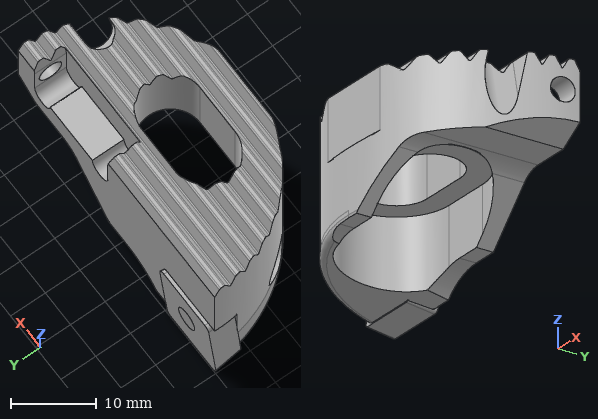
import cadquery as cq
import math


def sind(angle):
    return math.sin(math.radians(angle))


def cosd(angle):
    return math.cos(math.radians(angle))


def tand(angle):
    return math.tan(math.radians(angle))



BODY_RADIUS = 19.5
FACE_Y = -0.1
BODY_DEPTH = 23.95

LEDGE_Z = -9.98
CHAMFER_START_X = 16.0
CHAMFER_END_Z = -7.85
LEDGE_CORNER_X = 9.1
SLOPE_ANGLE = 45.0
LEDGE_BLEND_RADIUS = 4.0
MID_Z = -17.6
GULLET_START_X = -2.08
GULLET_END_X = -8.05
GULLET_RADIUS = 8.0

FLARE_Z = -16.7
FLARE_ANGLE = 10.0
BOTTOM_Z = -20.1
BOTTOM_TILT = 6.0
BOTTOM_FILLET = 0.9

SERRATION_COUNT = 7
SERRATION_SPAN = 17.52
SERRATION_PITCH = SERRATION_SPAN / SERRATION_COUNT
FLANK_ANGLE = 60.0
CREST_FLAT = 0.48
CREST_RADIUS = 0.25
ROOT_RADIUS = 0.1

SLOT_X = -0.75
SLOT_Y = -9.9
SLOT_LENGTH = 15.45
SLOT_WIDTH = 8.5
SEAT_RADIUS = 7.4

KEYWAY_LEFT_X = 1.7
KEYWAY_RIGHT_X = 16.15
KEYWAY_DEPTH_Y = 4.55
KEYWAY_FLOOR_Z = -6.0
KEYWAY_RELIEF_RADIUS = 1.5
KEYWAY_CHAMFER_WIDTH = 0.3
KEYWAY_CHAMFER_DEPTH = 2.0
CROSS_HOLE_RADIUS = 1.6
CROSS_HOLE_Y = -2.4
CROSS_HOLE_Z = -4.15

FRONT_FLAT_DEPTH = 0.75
FRONT_FLAT_Z = -8.25
FRONT_FLAT_RUNOUT = 0.4
GROOVE_RADIUS = 2.0
GROOVE_X = 15.6
GROOVE_Y = -8.82
GROOVE_Z = -0.5
GROOVE_HEADING = -22.0
GROOVE_DESCENT = 64.0

INSERT_TOP_Y = 0.4
INSERT_THICKNESS = 4.0
INSERT_HEIGHT = 9.6
INSERT_BOTTOM_Z = -20.4
INSERT_TIP_X = -20.6
INSERT_ANGLE = 80.0
INSERT_WIDTH = INSERT_HEIGHT / sind(INSERT_ANGLE)
INSERT_CLEARANCE = 7.0
INSERT_NOSE_RADIUS = 0.8
POCKET_REACH = 3.2

SCREW_X = -14.65
SCREW_Z = -15.4
SCREW_RADIUS = 1.6
SCREW_CHAMFER = 0.25
SCREW_END_Y = -9.9
ACCESS_RADIUS = 2.05
ACCESS_FLOOR_Y = -9.6

BEYOND = 4.0


def block(x0, x1, y0, y1, z0, z1):
    """Axis-aligned box between two corners."""
    return cq.Workplane("XY").box(x1 - x0, y1 - y0, z1 - z0, centered=False).translate((x0, y0, z0))


def cylinder_y(radius, x, z, y0, y1):
    """Cylinder along Y from y0 to the larger y1."""
    return cq.Workplane(cq.Solid.makeCylinder(radius, y1 - y0, cq.Vector(x, y0, z), cq.Vector(0, 1, 0)))


def flared_cylinder():
    """Cylinder whose lower end leans outwards to -X."""
    straight = cq.Workplane("XY").circle(BODY_RADIUS).extrude(-BODY_DEPTH)
    flare_height = BODY_DEPTH + FLARE_Z
    rim = cq.Wire.makeCircle(BODY_RADIUS, cq.Vector(0, 0, FLARE_Z), cq.Vector(0, 0, 1))
    lean = cq.Vector(-flare_height * tand(FLARE_ANGLE), 0, -flare_height)
    flare = cq.Workplane(cq.Solid.extrudeLinear(rim, [], lean))
    return straight.union(flare)


def tilted_bottom_cutter():
    """Everything below the bottom plane, which rises towards -Y."""
    length = 2 * BODY_RADIUS
    rise = length * tand(BOTTOM_TILT)
    return (
        cq.Workplane("YZ", origin=(-length, 0, 0))
        .moveTo(FACE_Y + length, BOTTOM_Z - rise)
        .lineTo(FACE_Y - length, BOTTOM_Z + rise)
        .lineTo(FACE_Y - length, -2 * BODY_DEPTH)
        .lineTo(FACE_Y + length, -2 * BODY_DEPTH)
        .close()
        .extrude(2 * length)
    )


def lower_outline():
    """Side outline of the housing, extruded along Y."""
    tangent = LEDGE_BLEND_RADIUS * tand(SLOPE_ANGLE / 2)
    slope_top_x = LEDGE_CORNER_X - tangent * cosd(SLOPE_ANGLE)
    slope_top_z = LEDGE_Z - tangent * sind(SLOPE_ANGLE)
    slope_end_x = LEDGE_CORNER_X - (LEDGE_Z - MID_Z) / tand(SLOPE_ANGLE)
    run = GULLET_START_X - GULLET_END_X
    drop = GULLET_RADIUS - math.sqrt(GULLET_RADIUS**2 - run**2)
    outer_x = 2 * BODY_RADIUS
    return (
        cq.Workplane("XZ")
        .moveTo(-outer_x, BEYOND)
        .lineTo(BODY_RADIUS, BEYOND)
        .lineTo(BODY_RADIUS, CHAMFER_END_Z)
        .lineTo(CHAMFER_START_X, LEDGE_Z)
        .lineTo(LEDGE_CORNER_X + tangent, LEDGE_Z)
        .radiusArc((slope_top_x, slope_top_z), -LEDGE_BLEND_RADIUS)
        .lineTo(slope_end_x, MID_Z)
        .lineTo(GULLET_START_X, MID_Z)
        .radiusArc((GULLET_END_X, MID_Z - drop), -GULLET_RADIUS)
        .lineTo(GULLET_END_X, -2 * BODY_DEPTH)
        .lineTo(-outer_x, -2 * BODY_DEPTH)
        .close()
        .extrude(2 * BODY_RADIUS)
    )


def housing_blank():
    blank = flared_cylinder().cut(tilted_bottom_cutter())
    blank = blank.faces("<Z").edges().fillet(BOTTOM_FILLET)
    half = block(-2 * BODY_RADIUS, 2 * BODY_RADIUS, -2 * BODY_RADIUS, FACE_Y, -BODY_DEPTH, 0)
    return blank.intersect(half).intersect(lower_outline())


def serration_cutter(y):
    """One rounded V groove along X, centred at y."""
    half_width = (SERRATION_PITCH - CREST_FLAT) / 2
    crest_tangent = CREST_RADIUS * tand(FLANK_ANGLE / 2)
    corner = half_width - crest_tangent
    flank_top = corner - crest_tangent * cosd(FLANK_ANGLE)
    flank_top_z = -crest_tangent * sind(FLANK_ANGLE)
    root_half = ROOT_RADIUS * sind(FLANK_ANGLE)
    root_z = -(corner - root_half) * tand(FLANK_ANGLE)
    return (
        cq.Workplane("YZ", origin=(-BODY_RADIUS - BEYOND, y, 0))
        .moveTo(-half_width, BEYOND)
        .lineTo(-half_width, 0)
        .radiusArc((-flank_top, flank_top_z), CREST_RADIUS)
        .lineTo(-root_half, root_z)
        .radiusArc((root_half, root_z), -ROOT_RADIUS)
        .lineTo(flank_top, flank_top_z)
        .radiusArc((half_width, 0), CREST_RADIUS)
        .lineTo(half_width, BEYOND)
        .close()
        .extrude(2 * (BODY_RADIUS + BEYOND))
    )


def clamping_slot():
    """Obround through slot with a wider seat for the clamp screw's head below."""
    centres = SLOT_LENGTH - SLOT_WIDTH
    slot = (
        cq.Workplane("XY", origin=(SLOT_X, SLOT_Y, BEYOND))
        .slot2D(SLOT_LENGTH, SLOT_WIDTH)
        .extrude(-BODY_DEPTH - 2 * BEYOND)
    )
    seat = (
        cq.Workplane("XY", origin=(SLOT_X, SLOT_Y, LEDGE_Z))
        .slot2D(centres + 2 * SEAT_RADIUS, 2 * SEAT_RADIUS)
        .extrude(-BODY_DEPTH)
    )
    return slot.union(seat)


def keyway():
    """Notch in the flat face: raised floor between two round reliefs, chamfered mouth."""
    back_y = FACE_Y - KEYWAY_DEPTH_Y
    notch = block(KEYWAY_LEFT_X, KEYWAY_RIGHT_X, back_y, BEYOND, KEYWAY_FLOOR_Z, BEYOND)
    mouth = (
        cq.Workplane("XZ", origin=(0, BEYOND, 0))
        .moveTo(KEYWAY_LEFT_X - KEYWAY_CHAMFER_WIDTH, 0)
        .lineTo(KEYWAY_LEFT_X, -KEYWAY_CHAMFER_DEPTH)
        .lineTo(KEYWAY_RIGHT_X, -KEYWAY_CHAMFER_DEPTH)
        .lineTo(KEYWAY_RIGHT_X + KEYWAY_CHAMFER_WIDTH, 0)
        .close()
        .extrude(BEYOND - back_y)
    )
    cutter = notch.union(mouth)
    for x in (KEYWAY_LEFT_X + KEYWAY_RELIEF_RADIUS, KEYWAY_RIGHT_X - KEYWAY_RELIEF_RADIUS):
        cutter = cutter.union(cylinder_y(KEYWAY_RELIEF_RADIUS, x, KEYWAY_FLOOR_Z, back_y, BEYOND))
    return cutter


def cross_hole():
    """Hole along X from the keyway to the outside."""
    middle_x = (KEYWAY_LEFT_X + KEYWAY_RIGHT_X) / 2
    return (
        cq.Workplane("YZ", origin=(middle_x, CROSS_HOLE_Y, CROSS_HOLE_Z))
        .circle(CROSS_HOLE_RADIUS)
        .extrude(BODY_RADIUS)
    )


def front_flat():
    """Flat milled on the outer cylinder, with a sloping lower end."""
    flat_y = -BODY_RADIUS + FRONT_FLAT_DEPTH
    return (
        cq.Workplane("YZ", origin=(-BODY_RADIUS / 2, 0, 0))
        .moveTo(flat_y, BEYOND)
        .lineTo(flat_y, FRONT_FLAT_Z)
        .lineTo(-BODY_RADIUS, FRONT_FLAT_Z - FRONT_FLAT_RUNOUT)
        .lineTo(-BODY_RADIUS - BEYOND, FRONT_FLAT_Z - FRONT_FLAT_RUNOUT)
        .lineTo(-BODY_RADIUS - BEYOND, BEYOND)
        .close()
        .extrude(BODY_RADIUS)
    )


def slanted_groove():
    """Round-bottomed groove running down and outwards, its side walls opening towards +X."""
    axis = cq.Vector(
        cosd(GROOVE_HEADING) * cosd(GROOVE_DESCENT),
        sind(GROOVE_HEADING) * cosd(GROOVE_DESCENT),
        -sind(GROOVE_DESCENT),
    )
    across = cq.Vector(1, 0, 0).cross(axis)
    plane = cq.Plane(origin=(GROOVE_X, GROOVE_Y, GROOVE_Z), xDir=across, normal=axis)
    opening = BODY_RADIUS
    profile = (
        cq.Workplane(plane)
        .moveTo(GROOVE_RADIUS, 0)
        .lineTo(GROOVE_RADIUS, opening)
        .lineTo(-GROOVE_RADIUS, opening)
        .lineTo(-GROOVE_RADIUS, 0)
        .threePointArc((0, -GROOVE_RADIUS), (GROOVE_RADIUS, 0))
        .close()
    )
    return profile.extrude(BODY_RADIUS, both=True)


def insert_blank(reach, nose_radius):
    """Tapered rhombus plate, shifted outwards to -X by reach."""
    lean = INSERT_HEIGHT / tand(INSERT_ANGLE)
    left_x = INSERT_TIP_X - reach
    top_z = INSERT_BOTTOM_Z + INSERT_HEIGHT
    outline = cq.Sketch().polygon(
        [
            (left_x, INSERT_BOTTOM_Z),
            (left_x + INSERT_WIDTH, INSERT_BOTTOM_Z),
            (left_x + INSERT_WIDTH + lean, top_z),
            (left_x + lean, top_z),
            (left_x, INSERT_BOTTOM_Z),
        ]
    )
    if nose_radius > 0:
        outline = outline.vertices().fillet(nose_radius)
    return (
        cq.Workplane("XZ", origin=(0, INSERT_TOP_Y, 0))
        .placeSketch(outline)
        .extrude(INSERT_THICKNESS, taper=INSERT_CLEARANCE)
    )


def screw_bore():
    """Hole that the screw fills in the insert and the housing."""
    return cylinder_y(SCREW_RADIUS, SCREW_X, SCREW_Z, SCREW_END_Y, BEYOND)


def make_screw():
    shank = cylinder_y(SCREW_RADIUS, SCREW_X, SCREW_Z, SCREW_END_Y, INSERT_TOP_Y)
    return shank.faces("<Y").chamfer(SCREW_CHAMFER)


def make_insert():
    return insert_blank(0, INSERT_NOSE_RADIUS).cut(screw_bore())


def make_housing():
    housing = housing_blank()
    for index in range(SERRATION_COUNT + 1):
        housing = housing.cut(serration_cutter(-index * SERRATION_PITCH))
    housing = housing.cut(clamping_slot())
    housing = housing.cut(keyway())
    housing = housing.cut(cross_hole())
    housing = housing.cut(front_flat())
    housing = housing.cut(slanted_groove())
    housing = housing.cut(insert_blank(0, INSERT_NOSE_RADIUS))
    housing = housing.cut(insert_blank(POCKET_REACH, 0))
    access_hole = cylinder_y(ACCESS_RADIUS, SCREW_X, SCREW_Z, -BODY_RADIUS, ACCESS_FLOOR_Y)
    housing = housing.cut(access_hole)
    return housing.cut(screw_bore())


housing = make_housing()
insert = make_insert()
screw = make_screw()

result = cq.Compound.makeCompound([housing.val(), insert.val(), screw.val()])